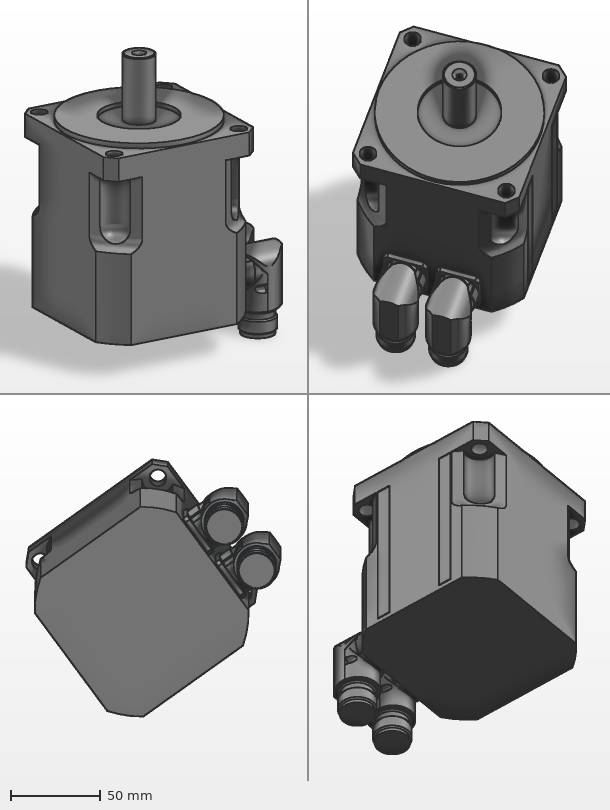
import cadquery as cq
import math


overall_height = 174.0
overall_depth = 130.0
cutter_margin = 1.7

flange_width = 98.0
flange_thickness = 14.0
flange_chamfer = 6.3
housing_height = 98.7
housing_corner_diameter = 119.9
pilot_diameter = 95.0
pilot_height = 3.1
pilot_recess_diameter = 47.0
pilot_recess_depth = 2.6
shaft_diameter = 19.0
shaft_chamfer_height = 0.5
shaft_chamfer_width = 0.9
centre_hole_diameter = 3.8
centre_hole_depth = 7.0
countersink_diameter = 8.0
countersink_angle = 90.0
bolt_circle_diameter = 115.2
bolt_hole_diameter = 9.4
head_clearance_diameter = 18.1
head_clearance_floor = 67.5
corner_relief_diameter = 112.0
corner_relief_height = 54.1
corner_flare_height = 7.8
slot_width = 8.5
slot_offset = 22.1
slot_depth = 0.3
slot_bottom = 3.7

half_flange = flange_width / 2
flange_top = housing_height + flange_thickness
pilot_top = flange_top + pilot_height
bolt_pitch = bolt_circle_diameter / math.sqrt(2)

connector_spacing = 31.0
connector_height = 18.8
elbow_radius = 12.7
elbow_back_half_width = 5.4
elbow_crease = 9.7
elbow_bottom = -23.5
dome_radius = 13.0
hood_reach = 16.0
hood_taper_angle = 31.0
mitre_offset = 2.5
column_radius = 12.5
column_offset = 0.5
column_start = 1.0
side_groove_radius = 2.6
side_groove_height = -9.7
barrel_neck_radius = 12.0
barrel_radius = 12.7
barrel_start = 9.2
barrel_pocket_offset = 7.3
plate_width = 25.4
plate_chamfer = 2.3
plate_thickness = 3.0
plug_neck_radius = 20.0 / 2
plug_ring_radius = 22.0 / 2
plug_bevel = plug_ring_radius - plug_neck_radius
collar_height = 1.0
neck_length = 3.5
ring_height = 7.0
tip_length = 2.3

connector_y = overall_depth - half_flange - elbow_radius
plate_end = connector_y - half_flange
plate_start = plate_end - plate_thickness

collar_end = elbow_bottom - collar_height
neck_start = collar_end - plug_bevel
neck_end = neck_start - neck_length
ring_start = neck_end - plug_bevel
ring_end = ring_start - ring_height
tip_start = ring_end - plug_bevel
tip_end = tip_start - tip_length

shaft_top = connector_height + tip_end + overall_height


def housing_body():
    """Square housing whose corners are turned to a large diameter."""
    block = cq.Workplane("XY").rect(flange_width, flange_width).extrude(housing_height)
    turned = cq.Workplane("XY").circle(housing_corner_diameter / 2).extrude(housing_height)
    return block.intersect(turned)


def corner_relief():
    """Ring cutter that turns down the upper corners and ends in a flare."""
    inner = corner_relief_diameter / 2
    outer = housing_corner_diameter / 2
    step = outer - inner
    flare_start = corner_relief_height + corner_flare_height
    flare_radius = (step**2 + corner_flare_height**2) / (2 * step)
    half_angle = math.asin(corner_flare_height / flare_radius) / 2
    flare_mid = (
        inner + flare_radius * (1 - math.cos(half_angle)),
        flare_start - flare_radius * math.sin(half_angle),
    )
    rim = outer + cutter_margin
    return (
        cq.Workplane("XZ")
        .moveTo(inner, housing_height)
        .lineTo(inner, flare_start)
        .threePointArc(flare_mid, (outer, corner_relief_height))
        .lineTo(rim, corner_relief_height)
        .lineTo(rim, housing_height)
        .close()
        .revolve(360, (0, 0, 0), (0, 1, 0))
    )


def head_clearances():
    """Ball-ended channels below the four flange holes."""
    radius = head_clearance_diameter / 2
    channels = (
        cq.Workplane("XY", origin=(0, 0, head_clearance_floor))
        .rect(bolt_pitch, bolt_pitch, forConstruction=True)
        .vertices()
        .circle(radius)
        .extrude(housing_height - head_clearance_floor)
    )
    ends = (
        cq.Workplane("XY", origin=(0, 0, head_clearance_floor))
        .rect(bolt_pitch, bolt_pitch, forConstruction=True)
        .vertices()
        .sphere(radius)
    )
    return channels.union(ends)


def side_slots():
    """Two shallow upright slots in the -X face."""
    length = housing_height - slot_bottom
    slots = cq.Workplane("XY")
    for side in (-1, 1):
        slot = cq.Workplane("XY").box(slot_depth, slot_width, length, centered=(False, True, False))
        slots = slots.add(slot.translate((-half_flange, side * slot_offset, slot_bottom)))
    return slots.combine()


def flange_and_pilot():
    flange = (
        cq.Workplane("XY", origin=(0, 0, housing_height))
        .rect(flange_width, flange_width)
        .extrude(flange_thickness)
        .edges("|Z")
        .chamfer(flange_chamfer)
        .faces(">Z")
        .workplane()
        .rect(bolt_pitch, bolt_pitch, forConstruction=True)
        .vertices()
        .hole(bolt_hole_diameter)
    )
    pilot = cq.Workplane("XY", origin=(0, 0, flange_top)).circle(pilot_diameter / 2).extrude(pilot_height)
    recess = (
        cq.Workplane("XY", origin=(0, 0, pilot_top))
        .circle(pilot_recess_diameter / 2)
        .extrude(-pilot_recess_depth)
    )
    return flange.union(pilot).cut(recess)


def shaft():
    bottom = pilot_top - pilot_recess_depth
    return (
        cq.Workplane("XY", origin=(0, 0, bottom))
        .circle(shaft_diameter / 2)
        .extrude(shaft_top - bottom)
        .faces(">Z")
        .chamfer(shaft_chamfer_height, shaft_chamfer_width)
        .faces(">Z")
        .workplane()
        .cskHole(centre_hole_diameter, countersink_diameter, countersink_angle, centre_hole_depth)
    )


def make_motor():
    housing = housing_body().cut(corner_relief()).cut(head_clearances()).cut(side_slots())
    return housing.union(flange_and_pilot()).union(shaft())


def below_mitre():
    """Cutter for everything in front of the column face and under the 45 degree mitre."""
    far = 2 * hood_reach
    return (
        cq.Workplane("YZ")
        .polyline(
            [
                (-column_start, elbow_bottom),
                (-column_start, column_start - mitre_offset),
                (-far, far - mitre_offset),
                (-far, elbow_bottom),
            ]
        )
        .close()
        .extrude(hood_reach, both=True)
    )


def elbow_shell():
    """Outer elbow: flat-backed outline, cylindrical top and a mitred hood."""
    crease_x = math.sqrt(elbow_radius**2 - elbow_crease**2)
    taper = math.radians(hood_taper_angle)
    taper_x = elbow_radius * math.cos(taper)
    taper_y = -elbow_radius * math.sin(taper)
    hood_half_width = (elbow_radius - hood_reach * math.sin(taper)) / math.cos(taper)
    height = dome_radius - elbow_bottom
    outline = (
        cq.Workplane("XY", origin=(0, 0, elbow_bottom))
        .moveTo(-elbow_back_half_width, elbow_radius)
        .lineTo(elbow_back_half_width, elbow_radius)
        .lineTo(crease_x, elbow_crease)
        .threePointArc((elbow_radius, 0), (taper_x, taper_y))
        .lineTo(hood_half_width, -hood_reach)
        .lineTo(-hood_half_width, -hood_reach)
        .lineTo(-taper_x, taper_y)
        .threePointArc((-elbow_radius, 0), (-crease_x, elbow_crease))
        .close()
        .extrude(height)
    )
    top = (
        cq.Workplane("XZ")
        .moveTo(-dome_radius, elbow_bottom)
        .lineTo(-dome_radius, 0)
        .threePointArc((0, dome_radius), (dome_radius, 0))
        .lineTo(dome_radius, elbow_bottom)
        .close()
        .extrude(2 * hood_reach, both=True)
    )
    return outline.intersect(top).cut(below_mitre())


def elbow_column():
    """Slightly smaller front half of the upright leg, with a groove on each side."""
    column = (
        cq.Workplane("XY", origin=(0, -column_offset, elbow_bottom))
        .circle(column_radius)
        .extrude(dome_radius - elbow_bottom)
        .intersect(below_mitre())
    )
    grooves = (
        cq.Workplane("XZ", origin=(0, -column_start, side_groove_height))
        .pushPoints([(-elbow_radius, 0), (elbow_radius, 0)])
        .circle(side_groove_radius)
        .extrude(hood_reach)
    )
    return column.cut(grooves)


def barrel():
    """Horizontal leg with four corner pockets behind its mounting plate."""
    neck = cq.Workplane("XZ").circle(barrel_neck_radius).extrude(plate_end).intersect(below_mitre())
    pocket_width = plate_width / 2 - barrel_pocket_offset
    pocket_pitch = 2 * barrel_pocket_offset + pocket_width
    body = cq.Workplane("XZ", origin=(0, -barrel_start, 0)).circle(barrel_radius)
    body = body.extrude(plate_start - barrel_start)
    pockets = (
        cq.Workplane("XZ", origin=(0, -barrel_start, 0))
        .rect(pocket_pitch, pocket_pitch, forConstruction=True)
        .vertices()
        .rect(pocket_width, pocket_width)
        .extrude(plate_start - barrel_start)
    )
    plate = (
        cq.Workplane("XZ", origin=(0, -plate_start, 0))
        .rect(plate_width, plate_width)
        .extrude(plate_thickness)
        .edges("|Y")
        .chamfer(plate_chamfer)
    )
    return body.cut(pockets).union(neck).union(plate)


def plug():
    """Turned plug below the elbow: collar, neck, bevelled ring and tip."""
    return (
        cq.Workplane("XZ")
        .polyline(
            [
                (0, elbow_bottom),
                (plug_ring_radius, elbow_bottom),
                (plug_ring_radius, collar_end),
                (plug_neck_radius, neck_start),
                (plug_neck_radius, neck_end),
                (plug_ring_radius, ring_start),
                (plug_ring_radius, ring_end),
                (plug_neck_radius, tip_start),
                (plug_neck_radius, tip_end),
                (0, tip_end),
            ]
        )
        .close()
        .revolve(360, (0, 0, 0), (0, 1, 0))
    )


def make_connector(x):
    connector = elbow_shell().union(elbow_column()).union(barrel()).union(plug())
    return connector.translate((x, connector_y, connector_height))


motor = make_motor()
connectors = [make_connector(side * connector_spacing / 2) for side in (-1, 1)]

result = cq.Compound.makeCompound([motor.val(), *[connector.val() for connector in connectors]])